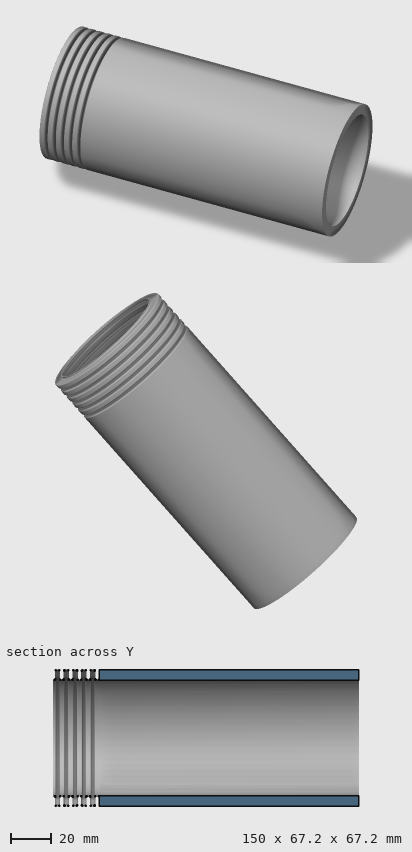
import cadquery as cq

length = 150.0
outer_diameter = 67.2
wall = 0.5

root_outer_diameter = 57.5
crest_count = 5
first_crest_start = 0.99
body_start = 22.5
pitch = (body_start - first_crest_start) / crest_count
crest_width = pitch / 2 + wall
bend_radius = 0.5


def cylinder(radius, start, end):
    """Solid cylinder along X between two stations."""
    return cq.Workplane("YZ", origin=(start, 0, 0)).circle(radius).extrude(end - start)


def inner_rims(solid, radius):
    """Circular edges of the given radius, apart from those on the two tube ends."""
    def is_rim(edge):
        return (
            edge.geomType() == "CIRCLE"
            and abs(edge.radius() - radius) < wall / 10
            and wall / 10 < edge.Center().x < length - wall / 10
        )

    return solid.edges().filter(is_rim)


def bellows_solid(inset):
    """Filled bellows with its root running the full length, set in from the outer skin."""
    crest_radius = outer_diameter / 2 - inset
    solid = cylinder(root_outer_diameter / 2 - inset, 0, length)
    for index in range(crest_count):
        start = first_crest_start + index * pitch
        crest = cylinder(crest_radius, start + inset, start + crest_width - inset)
        solid = solid.union(crest)
    return solid


def round_bends(solid, inset):
    """Round the crest corners and then the root corners."""
    for diameter in (outer_diameter, root_outer_diameter):
        solid = inner_rims(solid, diameter / 2 - inset).fillet(bend_radius)
    return solid


body = cylinder(outer_diameter / 2, body_start, length)
outer_skin = round_bends(bellows_solid(0).union(body), 0)
inner_space = round_bends(bellows_solid(wall), wall)
result = outer_skin.cut(inner_space)